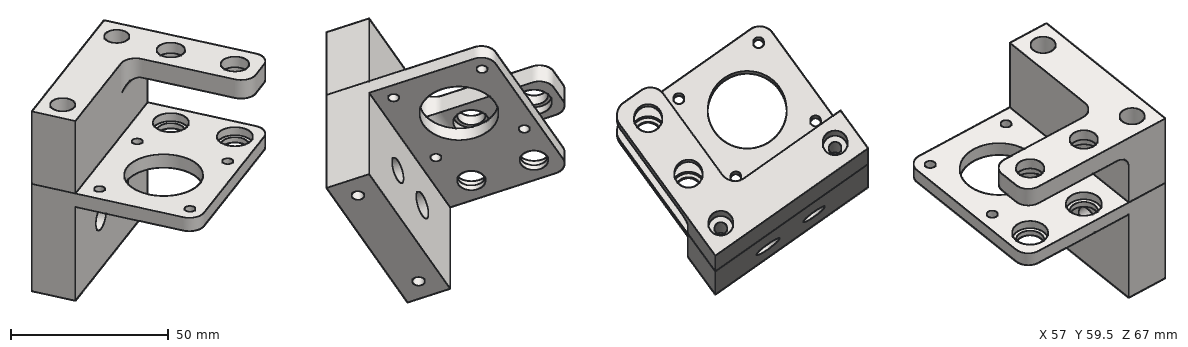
import cadquery as cq

length_x = 57.0
width_y = 59.5
height_z = 67.0

wall_thickness = 15.0
upper_wall_height = 27.0
plate_thickness = 5.0
arm_thickness = 7.0
arm_width = 16.95
corner_radius = 5.0

lower_wall_height = height_z - upper_wall_height
plate_bottom = lower_wall_height - plate_thickness
arm_bottom = height_z - arm_thickness
arm_front = width_y - arm_width

bolt_hole_diameter = 4.0
bolt_head_diameter = 8.0
bolt_head_depth = 9.0
bolt_edge_distance = wall_thickness / 2
bolt_points = [
    (bolt_edge_distance, bolt_edge_distance),
    (bolt_edge_distance, width_y - bolt_edge_distance),
]

rod_hole_diameter = 9.0
bearing_seat_diameter = 11.4
bearing_seat_depth = 3.0
rod_spacing = 22.0
first_rod_x = 26.45
rod_y = arm_front + arm_width / 2
rod_points = [(first_rod_x, rod_y), (first_rod_x + rod_spacing, rod_y)]

motor_x = 36.5
motor_y = 21.0
motor_bore_diameter = 25.0
motor_screw_diameter = 3.5
motor_screw_spacing = 31.0

wall_hole_height = 19.0
front_wall_hole_y = 21.05
front_wall_hole_diameter = 8.45
rear_wall_hole_y = 39.0
rear_wall_hole_diameter = 9.0


def vertical_holes(points, diameter, bottom, top):
    """Cylinders along Z between two heights, used as cutters."""
    return (
        cq.Workplane("XY", origin=(0, 0, bottom))
        .pushPoints(points)
        .circle(diameter / 2)
        .extrude(top - bottom)
    )


def wall_hole(y, diameter):
    """Cutter along X through the lower wall."""
    return (
        cq.Workplane("YZ")
        .center(y, wall_hole_height)
        .circle(diameter / 2)
        .extrude(wall_thickness)
    )


def make_upper_bracket():
    """L-shaped wall and arm, common to a side profile and a plan outline."""
    side_profile = (
        cq.Workplane("XZ")
        .moveTo(0, lower_wall_height)
        .lineTo(wall_thickness, lower_wall_height)
        .lineTo(wall_thickness, arm_bottom)
        .lineTo(length_x, arm_bottom)
        .lineTo(length_x, height_z)
        .lineTo(0, height_z)
        .close()
        .extrude(-width_y)
        .edges(cq.selectors.NearestToPointSelector((wall_thickness, width_y / 2, arm_bottom)))
        .fillet(corner_radius)
    )
    plan_outline = (
        cq.Workplane("XY", origin=(0, 0, lower_wall_height))
        .lineTo(wall_thickness, 0)
        .lineTo(wall_thickness, arm_front)
        .lineTo(length_x, arm_front)
        .lineTo(length_x, width_y)
        .lineTo(0, width_y)
        .close()
        .extrude(upper_wall_height)
    )
    inner_corner = cq.selectors.NearestToPointSelector(
        (wall_thickness, arm_front, lower_wall_height + upper_wall_height / 2)
    )
    plan_outline = plan_outline.edges(inner_corner).fillet(corner_radius)
    plan_outline = plan_outline.faces(">X").edges("|Z").fillet(corner_radius)

    bracket = side_profile.intersect(plan_outline)
    bracket = bracket.cut(
        vertical_holes(bolt_points, bolt_hole_diameter, lower_wall_height, height_z)
    )
    bracket = bracket.cut(
        vertical_holes(bolt_points, bolt_head_diameter, height_z - bolt_head_depth, height_z)
    )
    bracket = bracket.cut(vertical_holes(rod_points, rod_hole_diameter, arm_bottom, height_z))
    return bracket.cut(
        vertical_holes(
            rod_points, bearing_seat_diameter, arm_bottom, arm_bottom + bearing_seat_depth
        )
    )


def make_lower_bracket():
    """Wall with a motor plate level with its top."""
    plate = (
        cq.Workplane("XY", origin=(0, 0, plate_bottom))
        .rect(length_x, width_y, centered=False)
        .extrude(plate_thickness)
        .faces(">X")
        .edges("|Z")
        .fillet(corner_radius)
    )
    bracket = cq.Workplane("XY").box(
        wall_thickness, width_y, lower_wall_height, centered=False
    ).union(plate)

    bracket = bracket.cut(vertical_holes(bolt_points, bolt_hole_diameter, 0, lower_wall_height))
    bracket = bracket.cut(
        vertical_holes(rod_points, rod_hole_diameter, plate_bottom, lower_wall_height)
    )
    bracket = bracket.cut(
        vertical_holes(
            rod_points,
            bearing_seat_diameter,
            lower_wall_height - bearing_seat_depth,
            lower_wall_height,
        )
    )
    bracket = bracket.cut(
        vertical_holes(
            [(motor_x, motor_y)], motor_bore_diameter, plate_bottom, lower_wall_height
        )
    )
    half_spacing = motor_screw_spacing / 2
    screw_points = [
        (motor_x + side_x * half_spacing, motor_y + side_y * half_spacing)
        for side_x in (-1, 1)
        for side_y in (-1, 1)
    ]
    bracket = bracket.cut(
        vertical_holes(screw_points, motor_screw_diameter, plate_bottom, lower_wall_height)
    )
    bracket = bracket.cut(wall_hole(front_wall_hole_y, front_wall_hole_diameter))
    return bracket.cut(wall_hole(rear_wall_hole_y, rear_wall_hole_diameter))


upper_bracket = make_upper_bracket()
lower_bracket = make_lower_bracket()

result = cq.Compound.makeCompound([upper_bracket.val(), lower_bracket.val()])